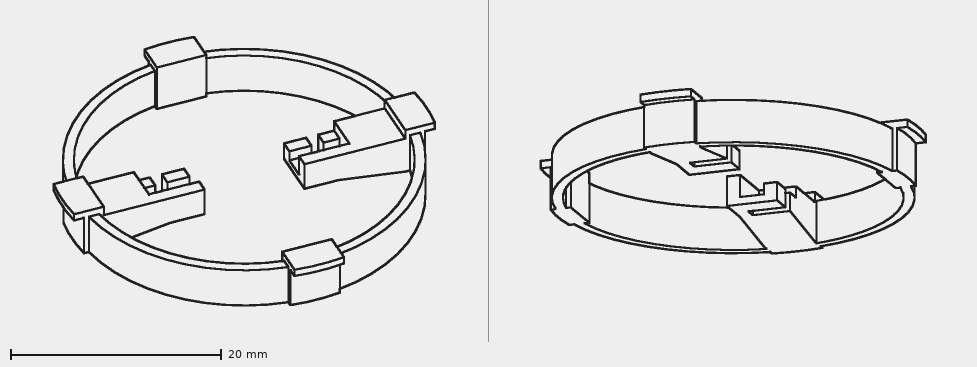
import cadquery as cq

ring_outer_radius = 17.25
ring_inner_radius = 16.2
ring_height = 4.25

tab_count = 4
tab_width = 5.1
tab_inner_face = 15.5
pad_outer_radius = 17.73
flange_outer_radius = 18.75
flange_thickness = 0.75
total_height = ring_height + flange_thickness

arm_end = 5.15
arm_top = 3.97
arm_end_bottom = 1.0

pocket_length = 5.17
wall_thickness = 1.35
lip_width = 1.35
lip_top = 2.85
floor_height = 1.75
slot_start = 7.42
slot_width = 1.25

half_width = tab_width / 2
wall_face = half_width - wall_thickness


def block(x_range, y_range, z_range):
    """Box spanning the given coordinate ranges."""
    low, high = zip(x_range, y_range, z_range)
    size = [b - a for a, b in zip(low, high)]
    return cq.Workplane("XY").box(*size, centered=False).translate(low)


def tab_layer(outer_radius, bottom, top):
    """Tab slice with a flat inner face and an arc for its outer face."""
    disc = cq.Workplane("XY").workplane(offset=bottom).circle(outer_radius).extrude(top - bottom)
    strip = block((-half_width, half_width), (tab_inner_face, flange_outer_radius), (bottom, top))
    return disc.intersect(strip)


def make_tab():
    pad = tab_layer(pad_outer_radius, 0, ring_height)
    flange = tab_layer(flange_outer_radius, ring_height, total_height)
    return pad.union(flange)


def make_arm():
    """Arm on the +Y side, from the tab to its free end."""
    side_profile = [
        (tab_inner_face, 0),
        (tab_inner_face, arm_top),
        (arm_end, arm_top),
        (arm_end, arm_end_bottom),
        (slot_start + slot_width, arm_end_bottom),
    ]
    arm = cq.Workplane("YZ").workplane(offset=-half_width).polyline(side_profile).close().extrude(tab_width)

    pocket_y = (arm_end, arm_end + pocket_length)
    above_lip = block((-half_width, wall_face), pocket_y, (lip_top, arm_top))
    behind_lip = block((-half_width + lip_width, wall_face), pocket_y, (floor_height, arm_top))
    slot = block((-half_width, wall_face), (slot_start, slot_start + slot_width), (0, arm_top))
    return arm.cut(above_lip).cut(behind_lip).cut(slot)


result = cq.Workplane("XY").circle(ring_outer_radius).circle(ring_inner_radius).extrude(ring_height)

tab = make_tab()
for index in range(tab_count):
    result = result.union(tab.rotate((0, 0, 0), (0, 0, 1), index * 360 / tab_count))

arm = make_arm()
result = result.union(arm).union(arm.mirror("XZ"))